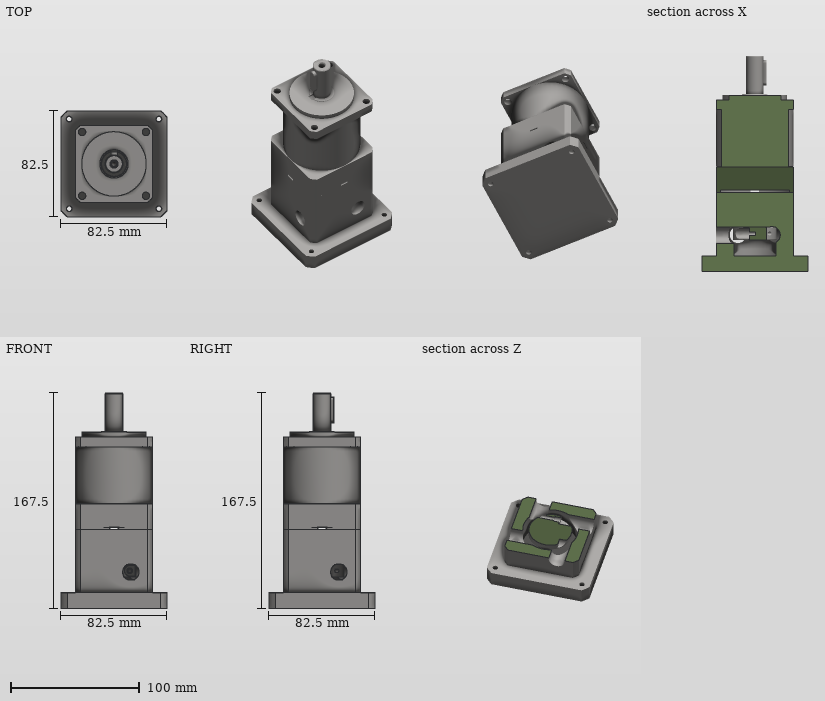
import cadquery as cq
import math

TOTAL_HEIGHT = 167.5
PLATE_TOP = 12.4
SPLIT_Z = 61.6
BLOCK_TOP = 81.4
FLANGE_BOTTOM = 125.8
FLANGE_TOP = 133.5
PILOT_TOP = 137.2

PLATE_WIDTH = 82.5
PLATE_CORNER_DIAMETER = 109.9
BODY_WIDTH = 60.0
BODY_CORNER_DIAMETER = 79.5

PLATE_HOLE_SPACING = 69.7
PLATE_HOLE_DIAMETER = 4.2
FLANGE_HOLE_SPACING = 49.5
FLANGE_HOLE_DIAMETER = 5.7

BARREL_DIAMETER = BODY_WIDTH
BARREL_CHAMFER = 0.5
PILOT_DIAMETER = 50.0

RECESS_DIAMETER = 60.3
RECESS_HEIGHT = 1.5
UNDERCUT_DIAMETER = 60.5
UNDERCUT_HEIGHT = 0.2

ACCESS_DIAMETER = 12.7
ACCESS_OFFSET = 13.0
ACCESS_Z = 28.5
CAVITY_DIAMETER = 42.9

COLLAR_DIAMETER = 33.8
COLLAR_HEIGHT = 10.0
COLLAR_CHAMFER = 0.3
SCREW_OFFSET = 12.2
SCREW_Z = 29.5
COLLAR_BOTTOM = SCREW_Z - COLLAR_HEIGHT / 2
COLLAR_TOP = COLLAR_BOTTOM + COLLAR_HEIGHT
COUNTERBORE_DIAMETER = 8.2
CLEARANCE_DIAMETER = 4.5
TAP_DIAMETER = 3.0
HEAD_SEAT_Y = -4.5
RELIEF_SEAT_Y = -9.5

SEAL_DIAMETER = 22.1
LIP_DIAMETER = 20.1
LIP_HEIGHT = 0.5
LIP_CHAMFER = 0.42
SEAL_NOTCH_DEPTH = 1.0

SHAFT_DIAMETER = 13.9
SHAFT_CHAMFER = 0.5
SHAFT_BOTTOM = FLANGE_BOTTOM
COUNTERSINK_DIAMETER = 6.4
THREAD_DIAMETER = 5.0
THREAD_DEPTH = 6.7
DRILL_DIAMETER = 4.0
DRILL_DEPTH = 8.4
DRILL_TIP_ANGLE = 118.0

KEY_WIDTH = 5.0
KEY_BOTTOM = 144.4
KEY_TOP = 164.5
KEY_SEAT_Y = 4.0
KEY_OUTER_Y = 9.2


def cylinder(diameter, bottom, top):
    """Upright cylinder on the main axis between two heights."""
    return cq.Workplane("XY").workplane(offset=bottom).circle(diameter / 2).extrude(top - bottom)


def turned_square(width, corner_diameter, bottom, top):
    """Square prism whose corners are turned to a round envelope."""
    square = cq.Workplane("XY").workplane(offset=bottom).rect(width, width).extrude(top - bottom)
    return square.intersect(cylinder(corner_diameter, bottom, top))


def corner_holes(spacing, diameter, bottom, top):
    """Four upright cylinders on a square pattern."""
    pattern = cq.Workplane("XY").workplane(offset=bottom).rect(spacing, spacing, forConstruction=True)
    return pattern.vertices().circle(diameter / 2).extrude(top - bottom)


def y_cylinder(diameter, x, z, y_start, y_end):
    """Cylinder parallel to Y between two Y positions."""
    plane = cq.Plane(origin=(x, y_start, z), xDir=(1, 0, 0), normal=(0, 1, 0))
    return cq.Workplane(plane).circle(diameter / 2).extrude(y_end - y_start)


def make_motor_adapter():
    """Wide mounting plate and square column, with a cavity reached by a hole in each side."""
    adapter = turned_square(PLATE_WIDTH, PLATE_CORNER_DIAMETER, 0, PLATE_TOP)
    adapter = adapter.cut(corner_holes(PLATE_HOLE_SPACING, PLATE_HOLE_DIAMETER, 0, PLATE_TOP))
    adapter = adapter.union(turned_square(BODY_WIDTH, BODY_CORNER_DIAMETER, PLATE_TOP, SPLIT_Z))
    adapter = adapter.cut(cylinder(CAVITY_DIAMETER, PLATE_TOP, COLLAR_TOP))
    access_hole = y_cylinder(ACCESS_DIAMETER, ACCESS_OFFSET, ACCESS_Z, -BODY_WIDTH / 2, 0)
    for side in range(4):
        adapter = adapter.cut(access_hole.rotate((0, 0, 0), (0, 0, 1), 90 * side))
    return adapter


def make_collar():
    """Clamp ring with a cross screw hole and two counterbores open to -Y."""
    radius = COLLAR_DIAMETER / 2
    collar = cylinder(COLLAR_DIAMETER, COLLAR_BOTTOM, COLLAR_TOP).edges().chamfer(COLLAR_CHAMFER)
    for x, seat_y in ((SCREW_OFFSET, HEAD_SEAT_Y), (-SCREW_OFFSET, RELIEF_SEAT_Y)):
        collar = collar.cut(y_cylinder(COUNTERBORE_DIAMETER, x, SCREW_Z, -radius, seat_y))

    seat_run_out = cq.Workplane("XY").box(
        radius, radius + HEAD_SEAT_Y, COUNTERBORE_DIAMETER, centered=(False, False, True)
    )
    collar = collar.cut(seat_run_out.translate((SCREW_OFFSET, -radius, SCREW_Z)))

    collar = collar.cut(y_cylinder(CLEARANCE_DIAMETER, SCREW_OFFSET, SCREW_Z, HEAD_SEAT_Y, 0))
    return collar.cut(y_cylinder(TAP_DIAMETER, SCREW_OFFSET, SCREW_Z, 0, radius))


def make_middle_block():
    """Square block with a recess so wide that it breaks out in the middle of each side."""
    recess_top = SPLIT_Z + RECESS_HEIGHT
    block = turned_square(BODY_WIDTH, BODY_CORNER_DIAMETER, SPLIT_Z, BLOCK_TOP)
    block = block.cut(cylinder(RECESS_DIAMETER, SPLIT_Z, recess_top))
    return block.cut(cylinder(UNDERCUT_DIAMETER, recess_top - UNDERCUT_HEIGHT, recess_top))


def make_output_housing():
    """Round barrel, square flange and round pilot, bored for the seal and the shaft."""
    barrel = cylinder(BARREL_DIAMETER, BLOCK_TOP, FLANGE_BOTTOM).faces("<Z").chamfer(BARREL_CHAMFER)
    flange = turned_square(BODY_WIDTH, BODY_CORNER_DIAMETER, FLANGE_BOTTOM, FLANGE_TOP)
    flange = flange.cut(
        corner_holes(FLANGE_HOLE_SPACING, FLANGE_HOLE_DIAMETER, FLANGE_BOTTOM, FLANGE_TOP)
    )
    pilot = cylinder(PILOT_DIAMETER, FLANGE_TOP, PILOT_TOP)
    housing = barrel.union(flange).union(pilot)
    housing = housing.cut(cylinder(SEAL_DIAMETER, FLANGE_TOP, PILOT_TOP))
    return housing.cut(cylinder(SHAFT_DIAMETER, SHAFT_BOTTOM, FLANGE_TOP))


def make_seal():
    """Ring with a raised chamfered lip, notched in line with the key."""
    lip_top = PILOT_TOP + LIP_HEIGHT
    lip = cylinder(LIP_DIAMETER, PILOT_TOP, lip_top).faces(">Z").chamfer(LIP_CHAMFER)
    seal = cylinder(SEAL_DIAMETER, FLANGE_TOP, PILOT_TOP).union(lip)
    seal = seal.cut(cylinder(SHAFT_DIAMETER, FLANGE_TOP, lip_top))
    notch = cq.Workplane("XY").box(
        KEY_WIDTH, SEAL_DIAMETER / 2, SEAL_NOTCH_DEPTH, centered=(True, False, False)
    )
    return seal.cut(notch.translate((0, 0, lip_top - SEAL_NOTCH_DEPTH)))


def make_key():
    """Parallel key with round ends, lying along the +Y side of the shaft."""
    length = KEY_TOP - KEY_BOTTOM
    plane = cq.Plane(origin=(0, KEY_SEAT_Y, (KEY_TOP + KEY_BOTTOM) / 2), xDir=(0, 0, 1), normal=(0, 1, 0))
    return cq.Workplane(plane).slot2D(length, KEY_WIDTH).extrude(KEY_OUTER_Y - KEY_SEAT_Y)


def make_shaft(key):
    """Shaft with a keyway and a threaded centre hole in its end."""
    shaft = cylinder(SHAFT_DIAMETER, SHAFT_BOTTOM, TOTAL_HEIGHT).faces(">Z").chamfer(SHAFT_CHAMFER)
    countersink_depth = (COUNTERSINK_DIAMETER - THREAD_DIAMETER) / 2
    tip_depth = DRILL_DIAMETER / 2 / math.tan(math.radians(DRILL_TIP_ANGLE / 2))
    centre_hole = (
        cq.Workplane("XZ")
        .moveTo(0, TOTAL_HEIGHT)
        .lineTo(COUNTERSINK_DIAMETER / 2, TOTAL_HEIGHT)
        .lineTo(THREAD_DIAMETER / 2, TOTAL_HEIGHT - countersink_depth)
        .lineTo(THREAD_DIAMETER / 2, TOTAL_HEIGHT - THREAD_DEPTH)
        .lineTo(DRILL_DIAMETER / 2, TOTAL_HEIGHT - THREAD_DEPTH)
        .lineTo(DRILL_DIAMETER / 2, TOTAL_HEIGHT - DRILL_DEPTH)
        .lineTo(0, TOTAL_HEIGHT - DRILL_DEPTH - tip_depth)
        .close()
        .revolve(360, (0, 0, 0), (0, 1, 0))
    )
    return shaft.cut(centre_hole).cut(key)


motor_adapter = make_motor_adapter()
collar = make_collar()
middle_block = make_middle_block()
output_housing = make_output_housing()
seal = make_seal()
key = make_key()
shaft = make_shaft(key)

result = cq.Compound.makeCompound(
    [
        motor_adapter.val(),
        collar.val(),
        middle_block.val(),
        output_housing.val(),
        seal.val(),
        key.val(),
        shaft.val(),
    ]
)